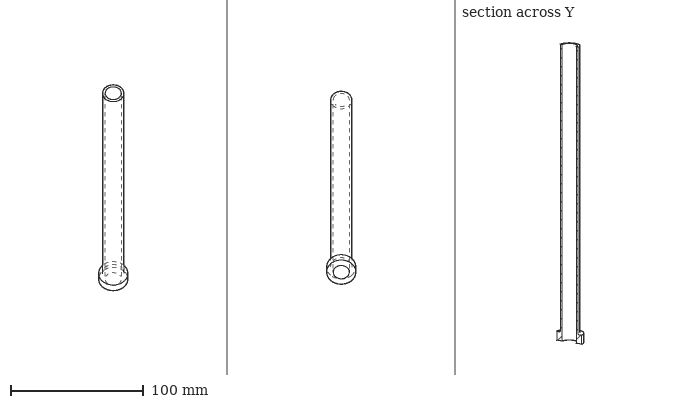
import cadquery as cq

length = 232.0
head_diameter = 22.0
head_height = 7.2
tube_diameter = 16.0
bore_diameter = 12.0
neck_fillet = 0.7

head = cq.Workplane("XY").circle(head_diameter / 2).extrude(head_height)
tube = cq.Workplane("XY").circle(tube_diameter / 2).extrude(length)
body = head.union(tube)

neck_edge = cq.selectors.RadiusNthSelector(0)
body = body.faces("<Z[1]").edges(neck_edge).fillet(neck_fillet)

bore = cq.Workplane("XY").circle(bore_diameter / 2).extrude(length)
result = body.cut(bore)